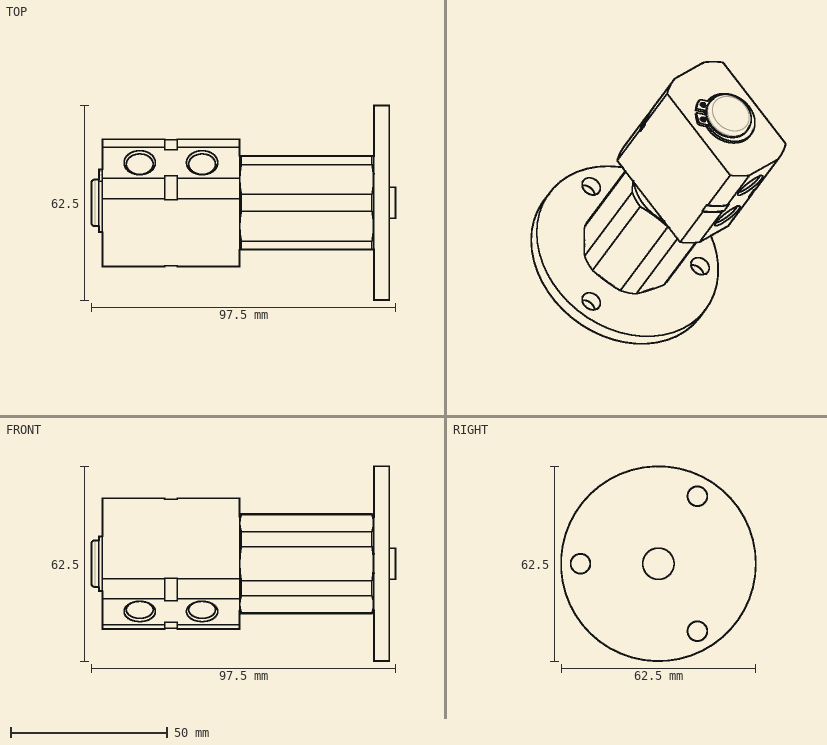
import cadquery as cq
import math

total_length = 97.5

block_start = 3.5
block_length = 44.0
hex_length = 43.0
flange_thickness = 5.0
block_end = block_start + block_length
flange_start = block_end + hex_length

block_diameter = 42.0
block_width = 25.1
block_height = 40.0
block_turn = 40.0
groove_width = 4.0
groove_diameter = 41.4
port_diameter = 8.6
port_mouth_diameter = 10.0
port_spacing = 20.0

shaft_diameter = 15.0
shaft_end_fillet = 1.2
stub_diameter = 10.0

ring_thickness = 1.1
ring_start = block_start - ring_thickness
ring_bore = 14.3
ring_outer_radius = 8.8
ring_offset = 0.6
lug_reach = 10.7
lug_half_width = 4.5
lug_corner_radius = 1.2
lug_hole_diameter = 1.7
lug_hole_y = 8.5
lug_hole_z = 2.7
ring_gap = 1.6

hex_across_flats = 30.0
hex_corner_diameter = 32.0
hex_face_diameter = 29.6
hex_chamfer_length = 0.6

flange_diameter = 62.5
flange_hole_diameter = 6.2
flange_hole_circle = 49.9
flange_hole_count = 3


def section(x):
    """Workplane across the axis at x; its local axes are Y and Z, its normal is +X."""
    return cq.Workplane("YZ", origin=(x, 0, 0))


def cylinder(x, length, diameter):
    """Round bar on the common axis, starting at x."""
    return section(x).circle(diameter / 2).extrude(length)


def make_port(x):
    """Cutter for a port from the top flat to the axis, with a 45 degree mouth chamfer."""
    radius = port_diameter / 2
    mouth_radius = port_mouth_diameter / 2
    top = block_height / 2
    profile = [
        (0, 0),
        (radius, 0),
        (radius, top - (mouth_radius - radius)),
        (mouth_radius, top),
        (0, top),
    ]
    cutter = cq.Workplane("XZ").polyline(profile).close().revolve(360, (0, 0), (0, 1))
    return cutter.translate((x, 0, 0))


def make_block():
    """Round bar cut to four flats, with a centre groove, two ports per end and a shaft bore."""
    middle = block_start + block_length / 2
    groove_start = middle - groove_width / 2
    block = cylinder(block_start, block_length, block_diameter)
    groove = cylinder(groove_start, groove_width, block_diameter)
    groove = groove.cut(cylinder(groove_start, groove_width, groove_diameter))
    block = block.cut(groove)
    block = block.intersect(section(block_start).rect(block_width, block_height).extrude(block_length))
    for side in (-1, 1):
        port = make_port(middle + side * port_spacing / 2)
        opposite_port = port.rotate((0, 0, 0), (1, 0, 0), 180)
        block = block.cut(port).cut(opposite_port)
    block = block.cut(cylinder(block_start, block_length, shaft_diameter))
    return block.rotate((0, 0, 0), (1, 0, 0), -block_turn)


def make_shaft():
    """Shaft with a rounded end and a ring seat, stepping down to a stub through the flange."""
    shaft = cylinder(0, flange_start, shaft_diameter).faces("<X").edges().fillet(shaft_end_fillet)
    seat = cylinder(ring_start, ring_thickness, shaft_diameter)
    seat = seat.cut(cylinder(ring_start, ring_thickness, ring_bore))
    stub = cylinder(flange_start, total_length - flange_start, stub_diameter)
    return shaft.cut(seat).union(stub)


def make_ring():
    """External retaining ring with two drilled lugs on the +Y side."""
    outer = section(ring_start).center(-ring_offset, 0).circle(ring_outer_radius).extrude(ring_thickness)
    lug_corner_y = math.sqrt(lug_reach**2 - lug_half_width**2)
    lugs = (
        section(ring_start)
        .moveTo(0, -lug_half_width)
        .lineTo(lug_corner_y, -lug_half_width)
        .threePointArc((lug_reach, 0), (lug_corner_y, lug_half_width))
        .lineTo(0, lug_half_width)
        .close()
        .extrude(ring_thickness)
        .edges("|X")
        .edges(">Y")
        .fillet(lug_corner_radius)
    )
    holes = (
        section(ring_start)
        .pushPoints([(lug_hole_y, -lug_hole_z), (lug_hole_y, lug_hole_z)])
        .circle(lug_hole_diameter / 2)
        .extrude(ring_thickness)
    )
    gap = section(ring_start).center(lug_reach / 2, 0).rect(lug_reach, ring_gap).extrude(ring_thickness)
    bore = cylinder(ring_start, ring_thickness, ring_bore)
    return outer.union(lugs).cut(holes).cut(gap).cut(bore)


def make_hex_sleeve():
    """Hexagonal sleeve whose corners are turned round and chamfered at both ends."""
    across_corners = hex_across_flats / math.cos(math.pi / 6)
    hexagon = section(block_end).transformed(rotate=(0, 0, 90)).polygon(6, across_corners)
    hexagon = hexagon.extrude(hex_length)
    corner_radius = hex_corner_diameter / 2
    face_radius = hex_face_diameter / 2
    profile = [
        (block_end, 0),
        (block_end, face_radius),
        (block_end + hex_chamfer_length, corner_radius),
        (flange_start - hex_chamfer_length, corner_radius),
        (flange_start, face_radius),
        (flange_start, 0),
    ]
    turned = cq.Workplane("XY").polyline(profile).close().revolve(360, (0, 0), (1, 0))
    return hexagon.intersect(turned).cut(cylinder(block_end, hex_length, shaft_diameter))


def make_flange():
    """Round flange with three fixing holes, one of them on the -Y side."""
    holes = (
        section(flange_start)
        .polarArray(flange_hole_circle / 2, 180, 360, flange_hole_count)
        .circle(flange_hole_diameter / 2)
        .extrude(flange_thickness)
    )
    flange = cylinder(flange_start, flange_thickness, flange_diameter)
    return flange.cut(holes).cut(cylinder(flange_start, flange_thickness, stub_diameter))


block = make_block()
shaft = make_shaft()
retaining_ring = make_ring()
hex_sleeve = make_hex_sleeve()
flange = make_flange()

result = cq.Compound.makeCompound(
    [block.val(), shaft.val(), retaining_ring.val(), hex_sleeve.val(), flange.val()]
)